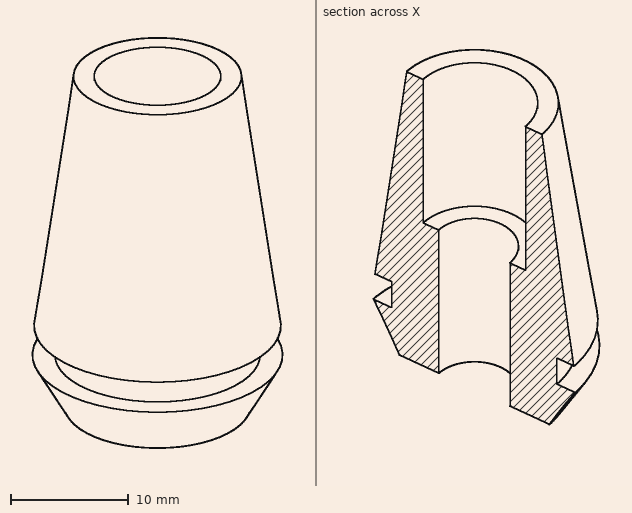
import cadquery as cq

total_height = 31.5
flange_diameter = 21.3
base_diameter = 15.8
flange_height = 4.85
groove_diameter = 17.45
groove_width = 2.8
body_base_diameter = 21.0
body_top_diameter = 14.3
large_bore_diameter = 10.77
small_bore_diameter = 7.5
large_bore_depth = total_height / 2

body_bottom = flange_height + groove_width
body_height = total_height - body_bottom


def frustum(bottom_z, height, bottom_diameter, top_diameter):
    """Solid round section, tapered between its two end diameters."""
    return (
        cq.Workplane("XY")
        .workplane(offset=bottom_z)
        .circle(bottom_diameter / 2)
        .workplane(offset=height)
        .circle(top_diameter / 2)
        .loft(ruled=True)
    )


def cylinder(bottom_z, height, diameter):
    """Solid round section of constant diameter."""
    return cq.Workplane("XY").workplane(offset=bottom_z).circle(diameter / 2).extrude(height)


flange = frustum(0, flange_height, base_diameter, flange_diameter)
groove_core = cylinder(flange_height, groove_width, groove_diameter)
body = frustum(body_bottom, body_height, body_base_diameter, body_top_diameter)

large_bore = cylinder(total_height - large_bore_depth, large_bore_depth, large_bore_diameter)
small_bore = cylinder(0, total_height, small_bore_diameter)

result = flange.union(groove_core).union(body).cut(large_bore).cut(small_bore)